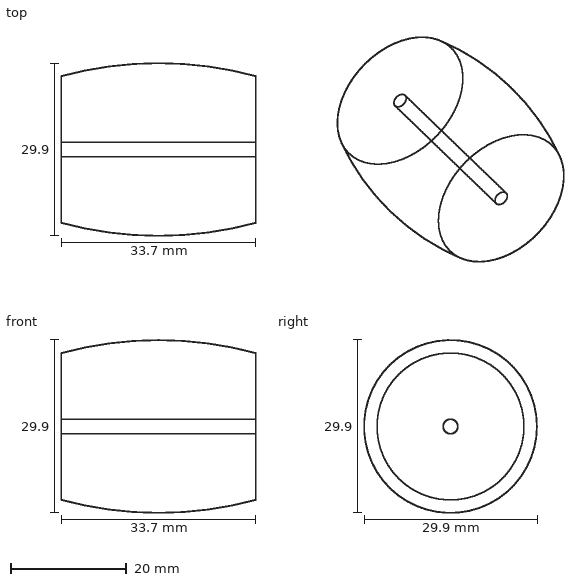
import cadquery as cq

length = 33.65
end_diameter = 25.4
middle_diameter = 29.9
bore_diameter = 2.5

half_length = length / 2
end_radius = end_diameter / 2
middle_radius = middle_diameter / 2
bore_radius = bore_diameter / 2

half_section = (
    cq.Workplane("XY")
    .moveTo(-half_length, bore_radius)
    .lineTo(-half_length, end_radius)
    .threePointArc((0, middle_radius), (half_length, end_radius))
    .lineTo(half_length, bore_radius)
    .close()
)

axis_start = (0, 0, 0)
axis_end = (1, 0, 0)
result = half_section.revolve(360, axis_start, axis_end)